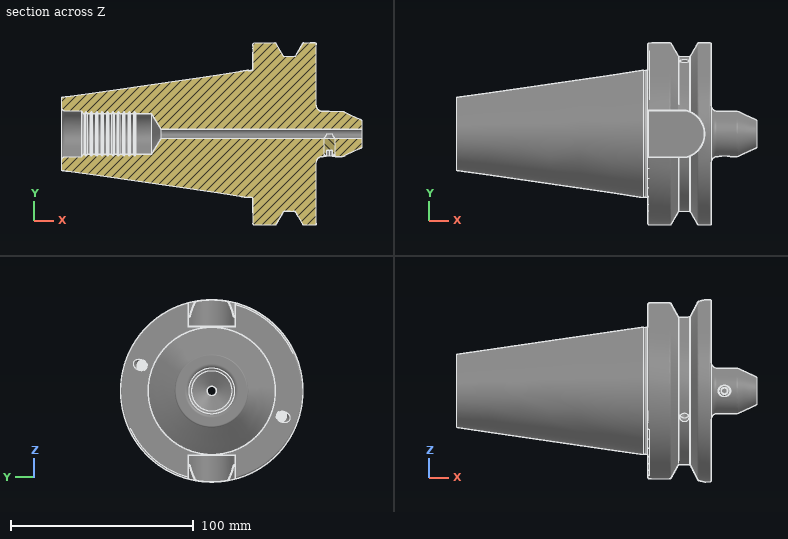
import cadquery as cq
import math


overall_length = 164.8
gauge_x = 101.8
flange_start_x = 104.8
flange_end_x = 139.8
nose_cone_x = 154.1

gauge_radius = 35.0
taper_on_diameter = 7 / 24
taper_tip_radius = gauge_radius - gauge_x * taper_on_diameter / 2
taper_tip_round = 0.8
relief_start_x = 102.5
relief_end_x = 104.0
relief_depth = 0.2

flange_diameter = 100.0
flange_radius = flange_diameter / 2
flange_round = 1.0
groove_floor_radius = 42.5
groove_floor_start_x = 121.8
groove_floor_end_x = 128.0
groove_half_angle = 30.0
groove_flare = (flange_radius - groove_floor_radius) * math.tan(math.radians(groove_half_angle))
groove_rim_round = 1.2
groove_floor_fillet = 0.5

nose_radius = 12.5
nose_root_fillet = 3.0
nose_cone_angle = 25.0
nose_tip_radius = nose_radius - (overall_length - nose_cone_x) * math.tan(math.radians(nose_cone_angle))
nose_shoulder_round = 2.1
nose_tip_round = 1.5

pilot_radius = 12.5
pilot_depth = 11.0
pilot_mouth_round = 2.1
pilot_chamfer_length = 1.0
drawbar_radius = 11.0
drawbar_depth = 49.5
drawbar_thread_radius = 12.0
drawbar_thread_pitch = 3.0
drawbar_thread_turns = 10
thread_half_angle = 30.0
thread_root_share = 0.1
drill_half_angle = 59.0
coolant_radius = 2.5

keyway_width = 25.4
keyway_edge_chamfer = 0.3
keyway_floor = 35.5
keyway_end_x = 135.8
keyway_end_radius = 13.0
keyway_end_center_x = keyway_end_x - keyway_end_radius
keyway_wall_end_x = keyway_end_center_x + math.sqrt(keyway_end_radius**2 - (keyway_width / 2) ** 2)

port_angle = 20.0
port_count = 2
port_entry_radius = 41.7
port_slant = 40.0
port_mouth_radius = 3.0
port_mouth_depth = 1.0
port_radius = 2.5
port_depth = 13.2
port_thread_pitch = 1.0
port_thread_turns = 8
groove_hole_x = (groove_floor_start_x + groove_floor_end_x) / 2
groove_hole_radius = 2.5
groove_hole_depth = 6.0

screw_x = 146.8
screw_diameter = 6.0
screw_countersink_diameter = 7.1
screw_edge_chamfer = 1.0
screw_outer_end = 12.0
screw_length = screw_outer_end - coolant_radius
socket_across_flats = 3.0
socket_depth = 3.0


def revolve_about_x(profile):
    return cq.Workplane("XZ").polyline(profile).close().revolve(360, (0, 0, 0), (1, 0, 0))


def round_circle(body, x, radius, size):
    """Fillet the circular edge of the given radius at station x."""
    tolerance = 0.02

    def matches(edge):
        if edge.geomType() != "CIRCLE":
            return False
        return abs(edge.Center().x - x) < tolerance and abs(edge.radius() - radius) < tolerance

    return body.edges().filter(matches).fillet(size)


def drill_tip_length(radius):
    return radius / math.tan(math.radians(drill_half_angle))


def thread_rings(minor_radius, major_radius, pitch, turns, start_x):
    """One V ring about the X axis for each turn of an internal thread."""
    root_half = pitch * thread_root_share / 2
    flank = (major_radius - minor_radius) * math.tan(math.radians(thread_half_angle))
    ring = revolve_about_x([
        (-root_half - flank, 0),
        (-root_half - flank, minor_radius),
        (-root_half, major_radius),
        (root_half, major_radius),
        (root_half + flank, minor_radius),
        (root_half + flank, 0),
    ])
    return [ring.translate((start_x + (turn + 0.5) * pitch, 0, 0)) for turn in range(turns)]


def holder_blank():
    relief_radius = gauge_radius - relief_depth
    body = revolve_about_x([
        (0, 0),
        (0, taper_tip_radius),
        (gauge_x, gauge_radius),
        (relief_start_x, gauge_radius),
        (relief_start_x, relief_radius),
        (relief_end_x, relief_radius),
        (relief_end_x, gauge_radius),
        (flange_start_x, gauge_radius),
        (flange_start_x, flange_radius),
        (groove_floor_start_x - groove_flare, flange_radius),
        (groove_floor_start_x, groove_floor_radius),
        (groove_floor_end_x, groove_floor_radius),
        (groove_floor_end_x + groove_flare, flange_radius),
        (flange_end_x, flange_radius),
        (flange_end_x, nose_radius),
        (nose_cone_x, nose_radius),
        (overall_length, nose_tip_radius),
        (overall_length, 0),
    ])
    rounds = [
        (0, taper_tip_radius, taper_tip_round),
        (flange_start_x, flange_radius, flange_round),
        (groove_floor_start_x - groove_flare, flange_radius, groove_rim_round),
        (groove_floor_start_x, groove_floor_radius, groove_floor_fillet),
        (groove_floor_end_x, groove_floor_radius, groove_floor_fillet),
        (groove_floor_end_x + groove_flare, flange_radius, groove_rim_round),
        (flange_end_x, flange_radius, flange_round),
        (flange_end_x, nose_radius, nose_root_fillet),
        (nose_cone_x, nose_radius, nose_shoulder_round),
        (overall_length, nose_tip_radius, nose_tip_round),
    ]
    for x, radius, size in rounds:
        body = round_circle(body, x, radius, size)
    return body


def cut_axial_bore(body):
    bore = revolve_about_x([
        (0, 0),
        (0, pilot_radius),
        (pilot_depth, pilot_radius),
        (pilot_depth + pilot_chamfer_length, drawbar_radius),
        (drawbar_depth, drawbar_radius),
        (drawbar_depth + drill_tip_length(drawbar_radius - coolant_radius), coolant_radius),
        (overall_length, coolant_radius),
        (overall_length, 0),
    ])
    return round_circle(body.cut(bore), 0, pilot_radius, pilot_mouth_round)


def cut_drawbar_thread(body):
    rings = thread_rings(
        drawbar_radius,
        drawbar_thread_radius,
        drawbar_thread_pitch,
        drawbar_thread_turns,
        pilot_depth + pilot_chamfer_length,
    )
    for ring in rings:
        body = body.cut(ring)
    return body


def on_keyway_rim(edge):
    """True for the outer edges of the keyways: all but the floor's inner edges and the wall ends."""
    tolerance = 0.02
    half_width = keyway_width / 2
    points = [edge.positionAt(share) for share in (0.0, 0.3, 0.5, 0.7, 1.0)]

    def all_points(condition):
        return all(condition(point) for point in points)

    on_front = all_points(lambda p: abs(p.x - flange_start_x) < tolerance)
    if all_points(lambda p: abs(abs(p.z) - keyway_floor) < tolerance):
        return on_front and abs(points[2].y) < half_width
    if all_points(lambda p: abs(p.x - keyway_wall_end_x) < tolerance):
        return False
    on_wall = all_points(
        lambda p: abs(abs(p.y) - half_width) < tolerance and p.x < keyway_wall_end_x + tolerance
    )
    on_end = all_points(
        lambda p: abs(math.hypot(p.x - keyway_end_center_x, p.y) - keyway_end_radius) < tolerance
    )
    return on_wall or on_end


def cut_keyways(body):
    half_width = keyway_width / 2
    slot = (
        cq.Workplane("XY", origin=(0, 0, keyway_floor))
        .moveTo(flange_start_x, -half_width)
        .lineTo(keyway_wall_end_x, -half_width)
        .threePointArc((keyway_end_x, 0), (keyway_wall_end_x, half_width))
        .lineTo(flange_start_x, half_width)
        .close()
        .extrude(flange_radius - keyway_floor)
    )
    slotted = body.cut(slot).cut(slot.mirror("XY"))
    return slotted.edges().filter(on_keyway_rim).chamfer(keyway_edge_chamfer)


def coolant_port_tools():
    """Slanted port with a plain mouth and a threaded bore, running in from the flange face."""
    overrun = 2 * port_mouth_radius
    bore = revolve_about_x([
        (-overrun, 0),
        (-overrun, port_mouth_radius),
        (port_mouth_depth, port_mouth_radius),
        (port_mouth_depth, port_radius),
        (port_depth, port_radius),
        (port_depth + drill_tip_length(port_radius), 0),
    ])
    rings = thread_rings(
        port_radius, port_mouth_radius, port_thread_pitch, port_thread_turns, port_mouth_depth
    )
    entry = (flange_start_x, port_entry_radius, 0)
    return [tool.rotate((0, 0, 0), (0, 0, 1), -port_slant).translate(entry) for tool in (bore, *rings)]


def groove_hole_tool():
    """Radial blind hole with a drill point, sunk into the groove floor."""
    hole = revolve_about_x([
        (-groove_hole_radius, 0),
        (-groove_hole_radius, groove_hole_radius),
        (groove_hole_depth, groove_hole_radius),
        (groove_hole_depth + drill_tip_length(groove_hole_radius), 0),
    ])
    entry = (groove_hole_x, groove_floor_radius, 0)
    return hole.rotate((0, 0, 0), (0, 0, 1), -90).translate(entry)


def cut_ports_and_groove_holes(body):
    tools = [*coolant_port_tools(), groove_hole_tool()]
    for index in range(port_count):
        angle = port_angle + index * 360 / port_count
        for tool in tools:
            body = body.cut(tool.rotate((0, 0, 0), (1, 0, 0), angle))
    return body


def cut_screw_hole(body):
    plane = cq.Workplane("XZ", origin=(screw_x, 0, 0))
    hole = plane.circle(screw_diameter / 2).extrude(nose_radius)
    countersink_depth = (screw_countersink_diameter - screw_diameter) / 2
    countersink = (
        cq.Workplane("XZ", origin=(screw_x, -nose_radius, 0))
        .circle(screw_countersink_diameter / 2)
        .extrude(-countersink_depth, taper=45)
    )
    return body.cut(hole).cut(countersink)


def make_holder():
    body = cut_axial_bore(holder_blank())
    body = cut_drawbar_thread(body)
    body = cut_keyways(body)
    body = cut_ports_and_groove_holes(body)
    return cut_screw_hole(body)


def make_clamping_screw():
    screw = (
        cq.Workplane("XZ", origin=(screw_x, -coolant_radius, 0))
        .circle(screw_diameter / 2)
        .extrude(screw_length)
        .faces("<Y")
        .chamfer(screw_edge_chamfer)
    )
    corner_diameter = socket_across_flats / math.cos(math.radians(30))
    socket = (
        cq.Workplane("XZ", origin=(screw_x, -screw_outer_end, 0))
        .transformed(rotate=(0, 0, 90))
        .polygon(6, corner_diameter)
        .extrude(-socket_depth)
    )
    return screw.cut(socket)


holder = make_holder()
clamping_screw = make_clamping_screw()

result = cq.Compound.makeCompound([holder.val(), clamping_screw.val()])